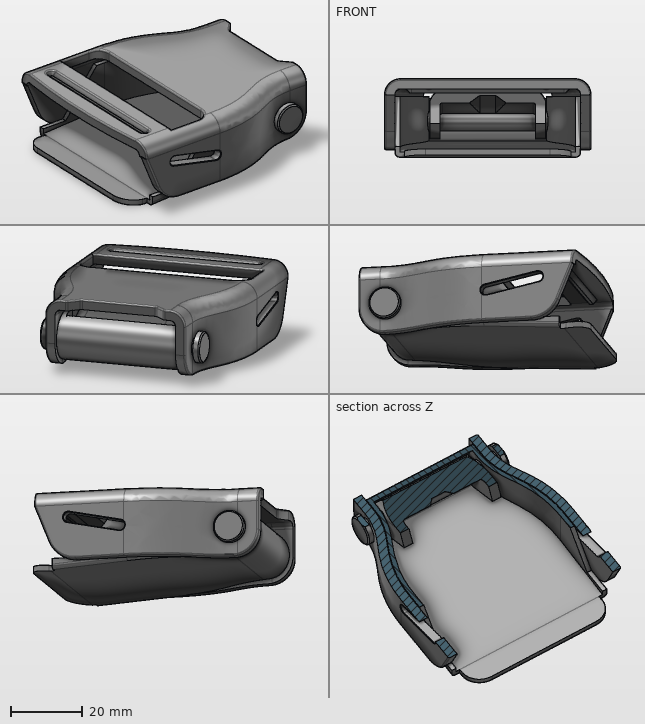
import cadquery as cq
import math


REAR_HALF_WIDTH = 20.9
FRONT_HALF_WIDTH = 29.0
SHOULDER_REAR_Y = -6.05
SHOULDER_FRONT_Y = -36.9
SHOULDER_MIDDLE_X = 25.45
SHOULDER_MIDDLE_Y = -20.1
SHOULDER_MIDDLE_ANGLE = math.radians(27)
WALL = 2.9
BEND_RADIUS = 4.55
TOP_REAR_HALF_WIDTH = REAR_HALF_WIDTH - BEND_RADIUS
HOUSING_HEIGHT = 20.0
REAR_CORNER_RADIUS = 7.25
FRONT_CORNER_RADIUS = 8.25
LIP_SIDE_Y = -62.8
LIP_CENTRE_Y = -64.8
FRONT_FOOT_Y = -56.6
EDGE_ROUND = 0.45
SMOOTH_COSINE = 0.95

NOTCH_TOP_HALF_WIDTH = 14.5
NOTCH_FLOOR_HALF_WIDTH = 11.2
NOTCH_DEPTH = 2.95
NOTCH_CORNER_RADIUS = 1.0

WINDOW_HALF_WIDTH = 25.25
WINDOW_REAR_Y = -37.85
WINDOW_FRONT_Y = -51.4
WINDOW_CORNER_RADIUS = 4.1
WINDOW_ROUND = 0.5

BEAD_Y = -58.0
BEAD_HALF_LENGTH = 21.35
BEAD_WIDTH = 3.3
BEAD_FLOOR_WIDTH = 1.0
BEAD_DEPTH = 1.2
BEAD_ROUND = 0.8

SLOT_REAR_Y = -38.1
SLOT_REAR_Z = -11.2
SLOT_FRONT_Y = -53.0
SLOT_FRONT_Z = -8.1
SLOT_WIDTH = 2.9
SLOT_BEVEL = 0.2
SLOT_RUN = SLOT_REAR_Y - SLOT_FRONT_Y
SLOT_RISE = SLOT_FRONT_Z - SLOT_REAR_Z
SLOT_MIDDLE_Y = (SLOT_REAR_Y + SLOT_FRONT_Y) / 2
SLOT_MIDDLE_Z = (SLOT_REAR_Z + SLOT_FRONT_Z) / 2

PIN_Y = -7.9
PIN_Z = -12.0
PIN_RADIUS = 2.8
HEAD_RADIUS = 4.5
HEAD_THICKNESS = 1.9
HEAD_OUTER_X = 23.8
HEAD_INNER_X = HEAD_OUTER_X - HEAD_THICKNESS
HEAD_BEVEL = 0.4

FIT_GAP = 0.05
SHEET = 1.45
CURL_RADIUS = 6.9
CURL_END_ANGLE = math.radians(60)
LEVER_BEND_RADIUS = 1.3
LEVER_FLANGE_END_Y = -58.5
LEVER_LOWEST_Y = -59.55
LEVER_LOWEST_DROP = 10.15
FLANGE_SLOPE_TOP_Y = -39.6
FLANGE_SLOPE_BOTTOM_Y = -50.6
FLANGE_STRIP_Z = -19.1
TONGUE_END_Y = -65.9
TONGUE_HALF_WIDTH = 23.4
TONGUE_CORNER_RADIUS = 5.95
TONGUE_RISE_SLOPE = 0.115

CAM_HALF_WIDTH = 16.3
CAM_LEG = 2.9
CAM_PLATE = 4.0
CAM_REAR_RADIUS = 5.0
CAM_TOP_OFFSET = 5.35
CAM_REACH = 10.15
CAM_TILT = 23.0
CAM_BEND_RADIUS = 4.3
CAM_INNER_RADIUS = 0.65
CAM_GROOVE_TOP_HALF_WIDTH = 2.25
CAM_GROOVE_BOTTOM_HALF_WIDTH = 5.3
CAM_GROOVE_DEPTH = 2.25
CAM_GROOVE_LENGTH = 7.25

MARGIN = 0.05
BEYOND = 13.2

LOWEST_RUN = PIN_Y - LEVER_LOWEST_Y
LOWEST_DISTANCE = math.hypot(LOWEST_RUN, LEVER_LOWEST_DROP)
FLOOR_SLOPE = math.atan2(LEVER_LOWEST_DROP, LOWEST_RUN) - math.asin(CURL_RADIUS / LOWEST_DISTANCE)
FLOOR_TANGENT_ANGLE = -math.pi / 2 - FLOOR_SLOPE
LEVER_FAR_FRONT_Y = LEVER_FLANGE_END_Y - BEYOND
LEVER_FAR_BOTTOM_Z = -2 * HOUSING_HEIGHT


def side_plane(x):
    """Sketch plane facing +X at the given X, with coordinates (Y, Z)."""
    return cq.Workplane("YZ", origin=(x, 0, 0))


def extrude_across(outline, half_width):
    return outline.extrude(half_width, both=True)


def plan_prism(inset, rear_y, front_y, bottom_z, top_z):
    """Prism whose sides run parallel to the outer side walls, inset by the given distance."""
    rear_x = REAR_HALF_WIDTH - inset
    front_x = FRONT_HALF_WIDTH - inset
    middle_x = SHOULDER_MIDDLE_X - inset * math.cos(SHOULDER_MIDDLE_ANGLE)
    middle_y = SHOULDER_MIDDLE_Y - inset * math.sin(SHOULDER_MIDDLE_ANGLE)
    right_shoulder = [(middle_x, middle_y), (front_x, SHOULDER_FRONT_Y)]
    left_shoulder = [(-middle_x, middle_y), (-rear_x, SHOULDER_REAR_Y)]
    forward = (0, -1)
    rearward = (0, 1)
    return (
        cq.Workplane("XY", origin=(0, 0, bottom_z))
        .moveTo(-rear_x, rear_y)
        .lineTo(rear_x, rear_y)
        .lineTo(rear_x, SHOULDER_REAR_Y)
        .spline(right_shoulder, tangents=[forward, forward], includeCurrent=True)
        .lineTo(front_x, front_y)
        .lineTo(-front_x, front_y)
        .lineTo(-front_x, SHOULDER_FRONT_Y)
        .spline(left_shoulder, tangents=[rearward, rearward], includeCurrent=True)
        .close()
        .extrude(top_z - bottom_z)
    )


def pin_bore():
    return extrude_across(side_plane(0).center(PIN_Y, PIN_Z).circle(PIN_RADIUS), FRONT_HALF_WIDTH)


def bend_along_sides(prism, radius):
    """Round the upper edges that run along the two sides of a plan prism."""
    runs_along_side = [
        edge for edge in prism.faces(">Z").edges().vals() if abs(edge.Center().x) > REAR_HALF_WIDTH / 2
    ]
    return prism.newObject(runs_along_side).fillet(radius)


def housing_side_outline():
    outline = (
        side_plane(0)
        .moveTo(0, 0)
        .lineTo(0, -HOUSING_HEIGHT)
        .lineTo(FRONT_FOOT_Y, -HOUSING_HEIGHT)
        .lineTo(LIP_SIDE_Y, -BEND_RADIUS)
        .lineTo(LIP_CENTRE_Y - BEYOND, -BEND_RADIUS)
        .lineTo(LIP_CENTRE_Y - BEYOND, 0)
        .close()
    )
    block = extrude_across(outline, FRONT_HALF_WIDTH + BEYOND)
    block = block.faces("<Z").edges(">Y").fillet(REAR_CORNER_RADIUS)
    return block.faces("<Z").edges("<Y").fillet(FRONT_CORNER_RADIUS)


def bowed_front():
    """Block whose front face is the shallow bow of the housing lip."""
    return (
        cq.Workplane("XY", origin=(0, 0, -HOUSING_HEIGHT))
        .moveTo(-FRONT_HALF_WIDTH, LIP_SIDE_Y)
        .threePointArc((0, LIP_CENTRE_Y), (FRONT_HALF_WIDTH, LIP_SIDE_Y))
        .lineTo(FRONT_HALF_WIDTH, 0)
        .lineTo(-FRONT_HALF_WIDTH, 0)
        .close()
        .extrude(HOUSING_HEIGHT)
    )


def rear_notch():
    return (
        cq.Workplane("XY", origin=(0, 0, -WALL))
        .polyline([
            (-NOTCH_TOP_HALF_WIDTH, 0),
            (NOTCH_TOP_HALF_WIDTH, 0),
            (NOTCH_FLOOR_HALF_WIDTH, -NOTCH_DEPTH),
            (-NOTCH_FLOOR_HALF_WIDTH, -NOTCH_DEPTH),
        ])
        .close()
        .extrude(WALL)
        .edges("|Z and <Y")
        .fillet(NOTCH_CORNER_RADIUS)
    )


def window():
    return (
        cq.Workplane("XY", origin=(0, (WINDOW_REAR_Y + WINDOW_FRONT_Y) / 2, -BEND_RADIUS))
        .rect(2 * WINDOW_HALF_WIDTH, WINDOW_REAR_Y - WINDOW_FRONT_Y)
        .extrude(BEND_RADIUS)
        .edges("|Z and >Y")
        .fillet(WINDOW_CORNER_RADIUS)
    )


def bead(top_z):
    """Long tapered boat shape of the pressed bead, with its wide mouth at top_z."""
    taper = math.degrees(math.atan((BEAD_WIDTH - BEAD_FLOOR_WIDTH) / 2 / BEAD_DEPTH))
    return (
        cq.Workplane("XY", origin=(0, BEAD_Y, top_z))
        .slot2D(2 * BEAD_HALF_LENGTH + BEAD_WIDTH, BEAD_WIDTH)
        .extrude(-BEAD_DEPTH, taper=taper)
    )


def lever_slots():
    length = math.hypot(SLOT_RUN, SLOT_RISE) + SLOT_WIDTH
    tilt = -math.degrees(math.atan2(SLOT_RISE, SLOT_RUN))
    slot = (
        side_plane(0)
        .center(SLOT_MIDDLE_Y, SLOT_MIDDLE_Z)
        .slot2D(length, SLOT_WIDTH, tilt)
    )
    return extrude_across(slot, FRONT_HALF_WIDTH)


def creases(body):
    """Edges where two faces of the body meet at a distinct angle."""
    faces = [(face, face.Edges()) for face in body.faces().vals()]
    sharp = []
    for edge in body.edges().vals():
        middle = edge.positionAt(0.5)
        normals = [face.normalAt(middle) for face, sides in faces if any(edge.isSame(side) for side in sides)]
        if len(normals) == 2 and normals[0].dot(normals[1]) < SMOOTH_COSINE:
            sharp.append(edge)
    return sharp


def round_outer_rim(shell):
    """Round the outer edge of the rear opening, the two sides, the notch and the front lip."""
    corners = [
        edge
        for edge in shell.edges("|Z").vals()
        if edge.Center().y > -EDGE_ROUND and abs(edge.Center().x) < TOP_REAR_HALF_WIDTH
    ]
    shell = shell.newObject(corners).fillet(NOTCH_CORNER_RADIUS)
    rim = []
    for edge in creases(shell):
        middle = edge.Center()
        if middle.z > -EDGE_ROUND or abs(middle.x) > TOP_REAR_HALF_WIDTH:
            rim.append(edge)
    return shell.newObject(rim).fillet(EDGE_ROUND)


def round_mouth(body, rear_y, front_y, radius):
    """Round the upper edges of an opening in the top plate that lies between two Y positions."""
    mouth = []
    for edge in creases(body):
        box = edge.BoundingBox()
        if front_y <= box.ymin and box.ymax <= rear_y and box.zmin > -WALL / 4:
            mouth.append(edge)
    return body.newObject(mouth).fillet(radius)


def bevel_slots(body):
    """Break the outer edges of the two side slots."""
    slot_edges = []
    for edge in creases(body):
        middle = edge.Center()
        near_slot = abs(middle.y - SLOT_MIDDLE_Y) < SLOT_RUN and abs(middle.z - SLOT_MIDDLE_Z) < SLOT_WIDTH
        if near_slot and abs(middle.x) > FRONT_HALF_WIDTH - MARGIN:
            slot_edges.append(edge)
    return body.newObject(slot_edges).chamfer(SLOT_BEVEL)


def make_housing():
    far_front = LIP_CENTRE_Y - BEYOND
    shell = bend_along_sides(plan_prism(0, 0, far_front, -HOUSING_HEIGHT, 0), BEND_RADIUS)
    shell = shell.intersect(housing_side_outline()).intersect(bowed_front())
    shell = round_outer_rim(shell.cut(rear_notch()))
    hollow = plan_prism(WALL, BEYOND, far_front - BEYOND, -HOUSING_HEIGHT - BEYOND, -WALL)
    hollow = bend_along_sides(hollow, BEND_RADIUS - WALL)
    body = shell.cut(hollow).cut(window())
    body = round_mouth(body, WINDOW_REAR_Y + MARGIN, WINDOW_FRONT_Y - MARGIN, WINDOW_ROUND)
    body = body.union(bead(-WALL)).cut(bead(0))
    body = round_mouth(body, BEAD_Y + BEAD_WIDTH, BEAD_Y - BEAD_WIDTH, BEAD_ROUND)
    body = bevel_slots(body.cut(lever_slots()))
    return body.cut(pin_bore())


def around_pin(radius, angle):
    """(Y, Z) at a distance from the pin axis, with the angle measured up from the rear."""
    return PIN_Y + radius * math.cos(angle), PIN_Z + radius * math.sin(angle)


def floor_point(y, radius):
    """(Y, Z) on the sloping floor line that is tangent to a circle about the pin axis."""
    return y, PIN_Z - radius / math.cos(FLOOR_SLOPE) - (PIN_Y - y) * math.tan(FLOOR_SLOPE)


def lever_block():
    """Lever plan shape standing on the sloping floor, with rounded lower side edges."""
    block = plan_prism(WALL + FIT_GAP, BEYOND, LEVER_FAR_FRONT_Y, LEVER_FAR_BOTTOM_Z, BEYOND)
    above_floor = (
        side_plane(0)
        .polyline([
            (BEYOND, BEYOND),
            (LEVER_FAR_FRONT_Y, BEYOND),
            floor_point(LEVER_FAR_FRONT_Y, CURL_RADIUS),
            floor_point(BEYOND, CURL_RADIUS),
        ])
        .close()
    )
    block = block.intersect(extrude_across(above_floor, FRONT_HALF_WIDTH))
    underside = min(block.faces("%PLANE").vals(), key=lambda face: face.normalAt().z)
    side_edges = [edge for edge in underside.Edges() if abs(edge.Center().x) > CAM_HALF_WIDTH]
    return block.newObject(side_edges).fillet(LEVER_BEND_RADIUS)


def lever_side_outline():
    """Curl, flanges and tongue as seen along the pin."""
    bend = floor_point(LEVER_LOWEST_Y, CURL_RADIUS)
    tongue_rise = (LEVER_LOWEST_Y - TONGUE_END_Y) * TONGUE_RISE_SLOPE
    outline = (
        side_plane(0)
        .moveTo(*around_pin(CURL_RADIUS, FLOOR_TANGENT_ANGLE))
        .threePointArc(around_pin(CURL_RADIUS, 0), around_pin(CURL_RADIUS, math.pi / 2))
        .lineTo(FLANGE_SLOPE_TOP_Y, PIN_Z + CURL_RADIUS)
        .lineTo(FLANGE_SLOPE_BOTTOM_Y, FLANGE_STRIP_Z)
        .lineTo(TONGUE_END_Y, FLANGE_STRIP_Z)
        .lineTo(TONGUE_END_Y, bend[1] + tongue_rise)
        .lineTo(*bend)
        .close()
    )
    return extrude_across(outline, FRONT_HALF_WIDTH)


def lever_cavity():
    """Space between the flanges, above the floor and the tongue and inside the curl."""
    radius = CURL_RADIUS - SHEET
    curl_end = around_pin(radius, CURL_END_ANGLE)
    bend = floor_point(LEVER_FLANGE_END_Y, radius)
    tongue_rise = (LEVER_FLANGE_END_Y - LEVER_FAR_FRONT_Y) * TONGUE_RISE_SLOPE
    outline = (
        side_plane(0)
        .moveTo(*around_pin(radius, FLOOR_TANGENT_ANGLE))
        .threePointArc(around_pin(radius, 0), curl_end)
        .lineTo(curl_end[0], BEYOND)
        .lineTo(LEVER_FAR_FRONT_Y, BEYOND)
        .lineTo(LEVER_FAR_FRONT_Y, bend[1] + tongue_rise)
        .lineTo(*bend)
        .close()
    )
    between_flanges = plan_prism(
        WALL + FIT_GAP + SHEET, BEYOND, LEVER_FAR_FRONT_Y, LEVER_FAR_BOTTOM_Z, BEYOND
    )
    return between_flanges.intersect(extrude_across(outline, FRONT_HALF_WIDTH))


def lever_front_limit():
    """Full width up to the end of the flanges, then the narrower round-cornered tongue."""
    base = cq.Workplane("XY", origin=(0, 0, LEVER_FAR_BOTTOM_Z))
    tray = base.rect(2 * FRONT_HALF_WIDTH, -2 * LEVER_FLANGE_END_Y).extrude(-LEVER_FAR_BOTTOM_Z)
    tongue = base.rect(2 * TONGUE_HALF_WIDTH, -2 * TONGUE_END_Y).extrude(-LEVER_FAR_BOTTOM_Z)
    return tray.union(tongue.edges("|Z and <Y").fillet(TONGUE_CORNER_RADIUS))


def make_lever():
    body = lever_block().intersect(lever_side_outline()).cut(lever_cavity())
    return body.intersect(lever_front_limit()).cut(pin_bore())


def make_cam():
    outline = (
        side_plane(0)
        .moveTo(0, CAM_TOP_OFFSET)
        .lineTo(-CAM_REACH, CAM_TOP_OFFSET)
        .lineTo(-CAM_REACH, -CAM_REAR_RADIUS)
        .lineTo(0, -CAM_REAR_RADIUS)
        .threePointArc((CAM_REAR_RADIUS, 0), (0, CAM_REAR_RADIUS))
        .close()
    )
    body = extrude_across(outline, CAM_HALF_WIDTH)
    body = body.faces(">Z").edges("|Y").fillet(CAM_BEND_RADIUS)
    plate_underside = CAM_TOP_OFFSET - CAM_PLATE
    opening = (
        cq.Workplane("XY", origin=(0, 0, plate_underside))
        .rect(2 * (CAM_HALF_WIDTH - CAM_LEG), 4 * CAM_REACH)
        .extrude(-CAM_REACH)
        .faces(">Z")
        .edges("|Y")
        .fillet(CAM_INNER_RADIUS)
    )
    groove = (
        cq.Workplane("XZ")
        .polyline([
            (-CAM_GROOVE_BOTTOM_HALF_WIDTH, plate_underside),
            (CAM_GROOVE_BOTTOM_HALF_WIDTH, plate_underside),
            (CAM_GROOVE_TOP_HALF_WIDTH, plate_underside + CAM_GROOVE_DEPTH),
            (-CAM_GROOVE_TOP_HALF_WIDTH, plate_underside + CAM_GROOVE_DEPTH),
        ])
        .close()
        .extrude(CAM_REACH)
    )
    groove_fall = math.degrees(math.atan(CAM_GROOVE_DEPTH / CAM_GROOVE_LENGTH))
    groove_mouth = (0, -CAM_REACH, plate_underside + CAM_GROOVE_DEPTH)
    groove = groove.rotate(groove_mouth, (1, *groove_mouth[1:]), -groove_fall)
    body = body.cut(opening).cut(groove)
    body = body.rotate((0, 0, 0), (1, 0, 0), -CAM_TILT).translate((0, PIN_Y, PIN_Z))
    return body.cut(pin_bore())


def make_disc(inner_x, direction):
    """Head-sized disc that grows outward from inner_x along +X or -X."""
    disc = side_plane(inner_x).center(PIN_Y, PIN_Z).circle(HEAD_RADIUS).extrude(direction * HEAD_THICKNESS)
    outer_face = ">X" if direction > 0 else "<X"
    return disc.faces(outer_face).edges().chamfer(HEAD_BEVEL)


def make_pin():
    shank = extrude_across(side_plane(0).center(PIN_Y, PIN_Z).circle(PIN_RADIUS), HEAD_INNER_X)
    return shank.union(make_disc(-HEAD_INNER_X, -1))


def make_pin_cap():
    return make_disc(HEAD_INNER_X, 1)


housing = make_housing()
lever = make_lever()
cam = make_cam()
pin = make_pin()
pin_cap = make_pin_cap()

result = cq.Compound.makeCompound([housing.val(), lever.val(), cam.val(), pin.val(), pin_cap.val()])